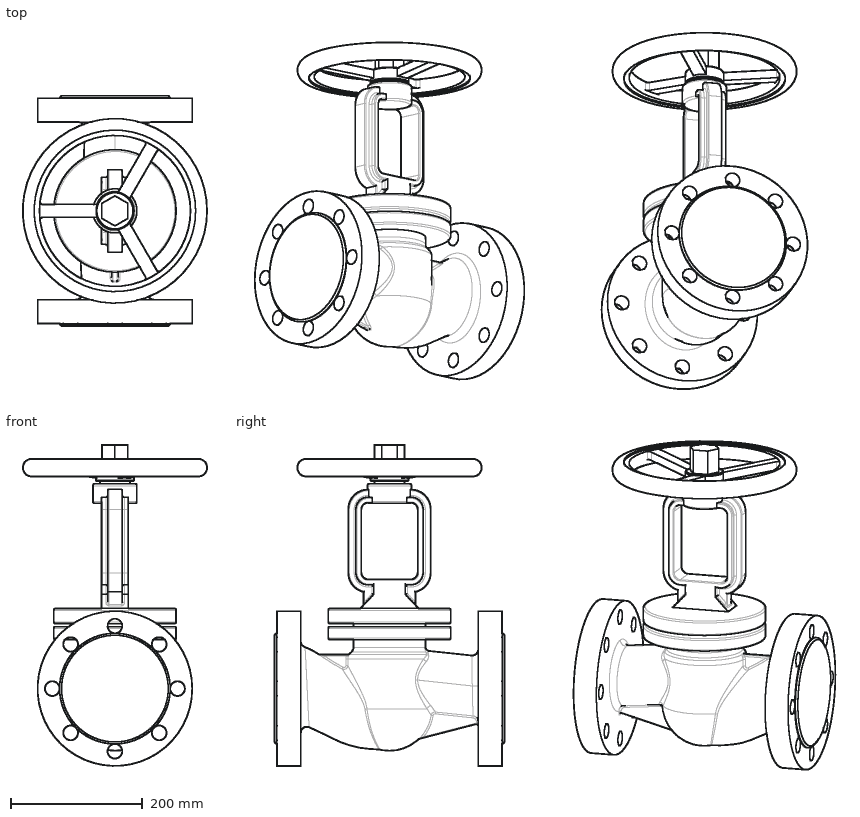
import cadquery as cq
import math


FACE_TO_FACE = 350.0
STEM_TOP_Z = 370.0
FLANGE_DIA = 235.0
WHEEL_DIA = 280.0
TOLERANCE = 0.01

RAISED_FACE_HEIGHT = 4.0
RAISED_FACE_DIA = 168.0
RAISED_FACE_CHAMFER = 3.0
FLANGE_THICKNESS = 36.5
BOLT_CIRCLE_DIA = 190.0
BOLT_HOLE_DIA = 22.0
BOLT_COUNT = 8
FLANGE_OUTER_Y = FACE_TO_FACE / 2 - RAISED_FACE_HEIGHT
FLANGE_INNER_Y = FLANGE_OUTER_Y - FLANGE_THICKNESS

BODY_RADIUS = 64.0
BODY_DOME_Z = -30.5
SHOULDER_TOP_Z = 63.0
SHOULDER_BLEND = 10.0
NECK_RADIUS = 54.7
BONNET_RADIUS = 93.0
BODY_RING_Z = 74.4
BODY_RING_THICKNESS = 19.7
BONNET_Z = 98.7
BONNET_THICKNESS = 22.9
BONNET_TOP_Z = BONNET_Z + BONNET_THICKNESS
BONNET_EDGE_ROUND = 2.5

OUTLET_SECTIONS = [
    (FLANGE_INNER_Y, 3.5, 45.5, 46.0),
    (90.0, 8.0, 47.0, 46.0),
    (20.0, 16.0, 51.0, 46.0),
]
INLET_SECTIONS = [
    (-FLANGE_INNER_Y, 5.0, 50.0, 60.0),
    (-110.0, -5.0, 50.5, 59.0),
    (-80.0, -22.0, 52.0, 57.0),
    (-45.0, -34.5, 53.0, 55.5),
    (0.0, -36.0, 56.0, 56.5),
]
BRANCH_ROOT_FILLET = 9.0
BRANCH_BODY_FILLET = 6.0
SEAM_MARGIN = 20.0
WEB_THICKNESS = 10.0
WEB_EDGE_ROUND = 2.0
WEB_FILLET = 3.0
WEB_FLANGE_OVERLAP = 1.0
OUTLET_WEB = [
    (FLANGE_INNER_Y + WEB_FLANGE_OVERLAP, -53.0),
    (35.0, -79.0),
    (30.0, -30.0),
    (FLANGE_INNER_Y + WEB_FLANGE_OVERLAP, -35.0),
]
INLET_WEB = [
    (-40.0, 52.0),
    (-112.0, 52.0),
    (-112.0, 10.0),
    (-40.0, 10.0),
]

YOKE_HALF_OPENING = 42.5
YOKE_OPENING_BOTTOM_Z = 166.0
YOKE_OPENING_TOP_Z = 282.0
YOKE_INNER_ROUND = 10.0
YOKE_PLATE_THICKNESS = 8.5
YOKE_PLATE_WIDTH = 41.0
YOKE_RIB_OUTSET = 20.2
YOKE_RIB_WIDTH = 22.0
YOKE_EDGE_ROUND = 1.5
YOKE_HEAD_RADIUS = 33.5
YOKE_HEAD_Z = 281.0
YOKE_HEAD_TOP_Z = 311.0
YOKE_HEAD_EDGE_ROUND = 3.0
YOKE_RIB_FILLET = 3.0
PEDESTAL_WAIST = 24.0
PEDESTAL_WAIST_Z = 143.0
PEDESTAL_FOOT = 44.5
PEDESTAL_RIB_REACH = 39.5

HEX_ACROSS_FLATS = 39.5
STEM_COLLAR_RADIUS = 23.0
HUB_RADIUS = 29.0
HUB_Z = 314.5
HUB_TOP_Z = 333.5
HUB_CHAMFER = 1.5
RIM_TUBE_RADIUS = 13.5
RIM_CENTRE_Z = 335.2
RIM_BAND_INNER_RADIUS = 114.5
RIM_BAND_OUTER_RADIUS = 122.5
RIM_BAND_HALF_HEIGHT = 10.5
SPOKE_COUNT = 3
SPOKE_WIDTH = 20.0
SPOKE_THICKNESS = 13.0
SPOKE_DROP = 14.0
SPOKE_RIM_OVERLAP = 2.0
SPOKE_CORNER_FILLET = 4.0


def cylinder_z(radius, z, height):
    return cq.Workplane("XY").workplane(offset=z).circle(radius).extrude(height)


def pipe_flange(side):
    """Drilled flange with a chamfered raised face; side is +1 or -1 along Y."""
    disc = cq.Workplane("XZ").circle(FLANGE_DIA / 2).extrude(-FLANGE_THICKNESS)
    disc = disc.translate((0, FLANGE_INNER_Y, 0))
    raised = cq.Workplane("XZ").circle(RAISED_FACE_DIA / 2).extrude(-RAISED_FACE_HEIGHT)
    raised = raised.faces(">Y").chamfer(RAISED_FACE_CHAMFER)
    flange = disc.union(raised.translate((0, FLANGE_OUTER_Y, 0)))
    holes = (
        cq.Workplane("XZ")
        .polarArray(BOLT_CIRCLE_DIA / 2, 0, 360, BOLT_COUNT)
        .circle(BOLT_HOLE_DIA / 2)
        .extrude(-FACE_TO_FACE)
    )
    flange = flange.cut(holes)
    return flange if side > 0 else flange.mirror("XZ")


def branch(sections):
    """Smooth pipe through upright elliptical sections."""
    wires = []
    for y, centre_z, half_width, half_height in sections:
        plane = cq.Plane(origin=(0, y, centre_z), xDir=(0, 0, 1), normal=(0, 1, 0))
        ring = cq.Workplane(plane).ellipse(half_height, half_width)
        wires.append(ring.ctx.pendingWires[0])
    return cq.Workplane(cq.Solid.makeLoft(wires))


def body_barrel():
    """Turned barrel: domed bottom, straight wall, then a 45 degree shoulder blended into the neck."""
    diagonal = math.sqrt(0.5)
    halfway_cos = math.cos(math.radians(22.5))
    halfway_sin = math.sin(math.radians(22.5))
    blend_run = SHOULDER_BLEND * (1 - diagonal)
    blend_rise = SHOULDER_BLEND * diagonal
    mid_run = SHOULDER_BLEND * (1 - halfway_cos)
    mid_rise = SHOULDER_BLEND * halfway_sin
    slope = BODY_RADIUS - NECK_RADIUS - 2 * blend_run
    wall_top_z = SHOULDER_TOP_Z - 2 * blend_rise - slope
    profile = (
        cq.Workplane("XZ")
        .moveTo(0, BODY_DOME_Z - BODY_RADIUS)
        .threePointArc(
            (BODY_RADIUS * diagonal, BODY_DOME_Z - BODY_RADIUS * diagonal),
            (BODY_RADIUS, BODY_DOME_Z),
        )
        .lineTo(BODY_RADIUS, wall_top_z)
        .threePointArc(
            (BODY_RADIUS - mid_run, wall_top_z + mid_rise),
            (BODY_RADIUS - blend_run, wall_top_z + blend_rise),
        )
        .lineTo(NECK_RADIUS + blend_run, SHOULDER_TOP_Z - blend_rise)
        .threePointArc(
            (NECK_RADIUS + mid_run, SHOULDER_TOP_Z - mid_rise),
            (NECK_RADIUS, SHOULDER_TOP_Z),
        )
        .lineTo(NECK_RADIUS, BONNET_Z)
        .lineTo(0, BONNET_Z)
        .close()
    )
    return profile.revolve(360, (0, 0, 0), (0, 1, 0))


def add_web(shell, points):
    """Add a flat web in the YZ midplane, its first edge rounded and its sides blended into the shell."""
    half = WEB_THICKNESS / 2
    (start_y, start_z), (end_y, end_z) = points[:2]
    free_edge = ((start_y + end_y) / 2, (start_z + end_z) / 2)
    plate = cq.Workplane("YZ").polyline(points).close().extrude(half, both=True)
    rims = [
        edge for edge in plate.edges("not |X").vals()
        if math.dist(free_edge, edge.Center().toTuple()[1:]) < TOLERANCE
    ]
    plate = plate.newObject(rims).fillet(WEB_EDGE_ROUND)
    joined = shell.union(plate)
    roots = [
        edge for edge in joined.edges("not %LINE").vals()
        if edge.BoundingBox().xlen < TOLERANCE and abs(abs(edge.Center().x) - half) < TOLERANCE
    ]
    return joined.newObject(roots).fillet(WEB_FILLET)


def bonnet_disc(z, thickness):
    return cylinder_z(BONNET_RADIUS, z, thickness).edges().fillet(BONNET_EDGE_ROUND)


def yoke_loop(outset, width):
    """Rounded rectangular loop around the yoke opening."""
    def rounded(grow):
        height = YOKE_OPENING_TOP_Z - YOKE_OPENING_BOTTOM_Z + 2 * grow
        block = cq.Workplane("YZ").rect(2 * (YOKE_HALF_OPENING + grow), height)
        block = block.extrude(width / 2, both=True)
        return block.edges("|X").fillet(YOKE_INNER_ROUND + grow)

    loop = rounded(outset).cut(rounded(0))
    loop = loop.faces("<X or >X").edges().fillet(YOKE_EDGE_ROUND)
    return loop.translate((0, 0, (YOKE_OPENING_TOP_Z + YOKE_OPENING_BOTTOM_Z) / 2))


def pedestal():
    """Waisted block between the bonnet and the yoke loop, with a narrow rib through it."""
    plate = (
        cq.Workplane("YZ")
        .polyline([
            (-PEDESTAL_FOOT, BONNET_TOP_Z),
            (PEDESTAL_FOOT, BONNET_TOP_Z),
            (PEDESTAL_WAIST, PEDESTAL_WAIST_Z),
            (PEDESTAL_WAIST, YOKE_OPENING_BOTTOM_Z - YOKE_EDGE_ROUND),
            (-PEDESTAL_WAIST, YOKE_OPENING_BOTTOM_Z - YOKE_EDGE_ROUND),
            (-PEDESTAL_WAIST, PEDESTAL_WAIST_Z),
        ])
        .close()
        .extrude(YOKE_PLATE_WIDTH / 2, both=True)
    )
    rib_height = YOKE_OPENING_BOTTOM_Z - YOKE_PLATE_THICKNESS - BONNET_TOP_Z
    rib = cq.Workplane("XY").box(
        YOKE_RIB_WIDTH, 2 * PEDESTAL_RIB_REACH, rib_height, centered=(True, True, False)
    )
    rib = rib.edges("|Z").fillet(YOKE_EDGE_ROUND)
    return plate.union(rib.translate((0, 0, BONNET_TOP_Z)))


def yoke_frame():
    """Loop and pedestal with the narrow rib blended into the wide plate."""
    plate = yoke_loop(YOKE_PLATE_THICKNESS, YOKE_PLATE_WIDTH)
    rib = yoke_loop(YOKE_RIB_OUTSET, YOKE_RIB_WIDTH)
    frame = plate.union(rib).union(pedestal())
    plate_outer_y = YOKE_HALF_OPENING + YOKE_PLATE_THICKNESS
    plate_top_z = YOKE_OPENING_TOP_Z + YOKE_PLATE_THICKNESS
    roots = []
    for edge in frame.edges().vals():
        box = edge.BoundingBox()
        reach = max(abs(box.ymin), abs(box.ymax))
        on_rib_side = box.xlen < TOLERANCE and abs(abs(box.xmin) - YOKE_RIB_WIDTH / 2) < TOLERANCE
        on_plate = reach < plate_outer_y + TOLERANCE and box.zmax < plate_top_z + TOLERANCE
        upright_corner = box.ylen < TOLERANCE and PEDESTAL_WAIST + TOLERANCE < reach < YOKE_HALF_OPENING
        rib_foot = (
            box.xmin > -YOKE_RIB_WIDTH / 2 - TOLERANCE
            and box.xmax < YOKE_RIB_WIDTH / 2 + TOLERANCE
            and box.zmin > BONNET_TOP_Z + TOLERANCE
            and box.zmax < PEDESTAL_WAIST_Z
            and box.xlen > TOLERANCE
        )
        if rib_foot or (on_rib_side and on_plate and not upright_corner):
            roots.append(edge)
    return frame.newObject(roots).fillet(YOKE_RIB_FILLET)


def yoke():
    head = cylinder_z(YOKE_HEAD_RADIUS, YOKE_HEAD_Z, YOKE_HEAD_TOP_Z - YOKE_HEAD_Z)
    head = head.edges().fillet(YOKE_HEAD_EDGE_ROUND)
    return yoke_frame().union(head)


def stem():
    """Round collar below the hub and a hexagonal end above it."""
    collar = cylinder_z(STEM_COLLAR_RADIUS, YOKE_HEAD_Z, HUB_TOP_Z - YOKE_HEAD_Z)
    hexagon = (
        cq.Workplane("XY")
        .workplane(offset=HUB_Z)
        .transformed(rotate=(0, 0, 30))
        .polygon(6, HEX_ACROSS_FLATS / math.cos(math.radians(30)))
        .extrude(STEM_TOP_Z - HUB_Z)
    )
    return collar.union(hexagon)


def spoke():
    """Straight spoke along -X, dropping from the rim band to the hub."""
    rim_x = -(RIM_BAND_INNER_RADIUS + SPOKE_RIM_OVERLAP)
    hub_x = -STEM_COLLAR_RADIUS
    rim_top_z = RIM_CENTRE_Z + RIM_BAND_HALF_HEIGHT
    hub_top_z = rim_top_z - SPOKE_DROP
    return (
        cq.Workplane("XZ")
        .polyline([
            (rim_x, rim_top_z),
            (hub_x, hub_top_z),
            (hub_x, hub_top_z - SPOKE_THICKNESS),
            (rim_x, rim_top_z - SPOKE_THICKNESS),
        ])
        .close()
        .extrude(SPOKE_WIDTH / 2, both=True)
    )


def handwheel():
    tube_centre = WHEEL_DIA / 2 - RIM_TUBE_RADIUS
    inset = tube_centre - RIM_BAND_OUTER_RADIUS
    tube_half_height = math.sqrt(RIM_TUBE_RADIUS**2 - inset**2)
    wheel = (
        cq.Workplane("XZ")
        .moveTo(RIM_BAND_INNER_RADIUS, RIM_CENTRE_Z - RIM_BAND_HALF_HEIGHT)
        .lineTo(RIM_BAND_OUTER_RADIUS, RIM_CENTRE_Z - RIM_BAND_HALF_HEIGHT)
        .lineTo(RIM_BAND_OUTER_RADIUS, RIM_CENTRE_Z - tube_half_height)
        .threePointArc(
            (WHEEL_DIA / 2, RIM_CENTRE_Z),
            (RIM_BAND_OUTER_RADIUS, RIM_CENTRE_Z + tube_half_height),
        )
        .lineTo(RIM_BAND_OUTER_RADIUS, RIM_CENTRE_Z + RIM_BAND_HALF_HEIGHT)
        .lineTo(RIM_BAND_INNER_RADIUS, RIM_CENTRE_Z + RIM_BAND_HALF_HEIGHT)
        .close()
        .revolve(360, (0, 0, 0), (0, 1, 0))
    )
    one_spoke = spoke()
    for index in range(SPOKE_COUNT):
        wheel = wheel.union(one_spoke.rotate((0, 0, 0), (0, 0, 1), index * 360 / SPOKE_COUNT))
    corners = []
    for edge in wheel.edges("|Z").vals():
        centre = edge.Center()
        radius = math.hypot(centre.x, centre.y)
        at_spoke = edge.BoundingBox().zlen < SPOKE_THICKNESS + TOLERANCE
        if at_spoke and abs(radius - RIM_BAND_INNER_RADIUS) < TOLERANCE:
            corners.append(edge)
    wheel = wheel.newObject(corners).fillet(SPOKE_CORNER_FILLET)
    hub = cylinder_z(HUB_RADIUS, HUB_Z, HUB_TOP_Z - HUB_Z).edges().chamfer(HUB_CHAMFER)
    return wheel.union(hub)


def branch_seams(part, side):
    """Free-form edges where the branch on one side of the stem runs into the barrel."""
    far_y = BODY_RADIUS + SEAM_MARGIN
    chosen = []
    for edge in part.edges("%BSPLINE").vals():
        box = edge.BoundingBox()
        near, far = sorted((side * box.ymin, side * box.ymax))
        if near > 0 and far < far_y:
            chosen.append(edge)
    return part.newObject(chosen)


def add_flange(shell, side, root_fillet):
    """Add a pipe flange and blend the branch into its back face."""
    shell = shell.union(pipe_flange(side))
    roots = [
        edge for edge in shell.edges("%BSPLINE").vals()
        if edge.BoundingBox().ylen < TOLERANCE and abs(edge.Center().y - side * FLANGE_INNER_Y) < TOLERANCE
    ]
    return shell.newObject(roots).fillet(root_fillet)


def valve_body():
    outlet = body_barrel().union(branch(OUTLET_SECTIONS))
    outlet = branch_seams(outlet, 1).fillet(BRANCH_BODY_FILLET)
    shell = outlet.union(branch(INLET_SECTIONS))
    shell = branch_seams(shell, -1).fillet(BRANCH_BODY_FILLET)
    for side in (1, -1):
        shell = add_flange(shell, side, BRANCH_ROOT_FILLET)
    shell = add_web(shell, OUTLET_WEB)
    return add_web(shell, INLET_WEB)


result = (
    valve_body()
    .union(bonnet_disc(BODY_RING_Z, BODY_RING_THICKNESS))
    .union(bonnet_disc(BONNET_Z, BONNET_THICKNESS))
    .union(yoke())
    .union(stem())
    .union(handwheel())
)